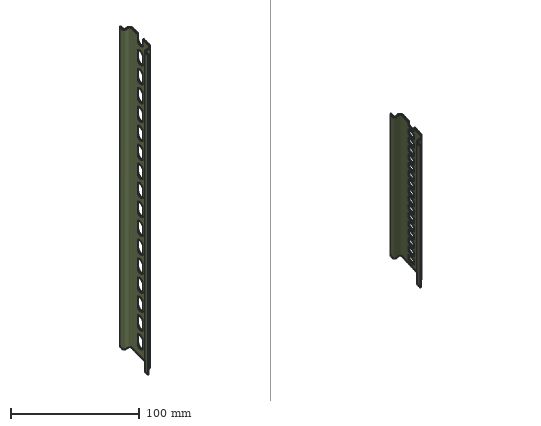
import cadquery as cq

length = 428.8
width = 35.0
depth = 7.5
thickness = 1.0

channel_width = 27.0
web_bend_radius = 2.0
lip_bend_radius = 1.0

slot_width = 6.5
slot_length = 18.0
slot_count = 17
slot_row_span = 407.0
first_slot_height = 19.5


def make_half_rail():
    """The +X half: web at the back (+Y), side wall, and lip at the front (-Y)."""
    half_width = width / 2
    front = -depth / 2
    back = depth / 2
    lip_back = front + thickness
    web_front = back - thickness
    wall_outside = channel_width / 2
    wall_inside = wall_outside - thickness

    web_bend_outside = web_bend_radius + thickness
    web_bend_x = wall_inside - web_bend_radius
    web_bend_y = web_front - web_bend_radius
    lip_bend_outside = lip_bend_radius + thickness
    lip_bend_x = wall_outside + lip_bend_radius
    lip_bend_y = lip_back + lip_bend_radius

    return (
        cq.Workplane("XY")
        .moveTo(0, back)
        .lineTo(web_bend_x, back)
        .radiusArc((wall_outside, web_bend_y), web_bend_outside)
        .lineTo(wall_outside, lip_bend_y)
        .radiusArc((lip_bend_x, lip_back), -lip_bend_radius)
        .lineTo(half_width, lip_back)
        .lineTo(half_width, front)
        .lineTo(lip_bend_x, front)
        .radiusArc((wall_inside, lip_bend_y), lip_bend_outside)
        .lineTo(wall_inside, web_bend_y)
        .radiusArc((web_bend_x, web_front), -web_bend_radius)
        .lineTo(0, web_front)
        .close()
        .extrude(length)
    )


def make_slot_cutters():
    """Upright round-ended cutters through the web, evenly spaced up the rail."""
    pitch = slot_row_span / (slot_count - 1)
    centers = [(0, first_slot_height + i * pitch) for i in range(slot_count)]
    return (
        cq.Workplane("XZ")
        .pushPoints(centers)
        .slot2D(slot_length, slot_width, 90)
        .extrude(depth, both=True)
    )


half_rail = make_half_rail()
rail = half_rail.union(half_rail.mirror("YZ")).clean()
result = rail.cut(make_slot_cutters())